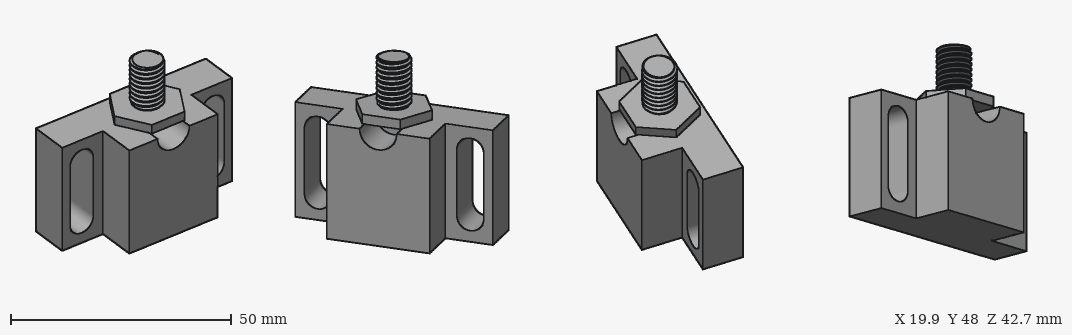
import cadquery as cq
import math

bracket_length = 48.0
bracket_height = 28.0
bracket_depth = 19.95
plate_thickness = bracket_depth / 2
block_length = 24.95

slot_width = 6.55
slot_height = 22.5
slot_spacing = 37.0

groove_radius = 4.5

stud_top = 42.7
collar_height = 0.45
flange_thickness = 2.35
flange_across_flats = 16.0
flange_corner_diameter = flange_across_flats / math.cos(math.pi / 6)
flange_top = bracket_height + collar_height + flange_thickness

thread_diameter = 8.0
core_diameter = 6.7
thread_pitch = 1.25
thread_turns = 11
thread_start = 29.8
thread_start_angle = -90.0
ridge_base_width = 1.15
ridge_crest_width = 0.15
ridge_embed = 0.15
thread_end_chamfer = 0.4
thread_runout_chamfer = 0.7
crest_clearance = 0.1


def make_bracket():
    plate = cq.Workplane("XY").box(
        plate_thickness, bracket_length, bracket_height, centered=(False, True, False)
    ).translate((-plate_thickness, 0, 0))
    block = cq.Workplane("XY").box(
        bracket_depth / 2, block_length, bracket_height, centered=(False, True, False)
    )
    slots = (
        cq.Workplane("YZ", origin=(-plate_thickness, 0, bracket_height / 2))
        .pushPoints([(-slot_spacing / 2, 0), (slot_spacing / 2, 0)])
        .slot2D(slot_height, slot_width, 90)
        .extrude(plate_thickness)
    )
    groove = (
        cq.Workplane("YZ", origin=(0, 0, bracket_height))
        .circle(groove_radius)
        .extrude(bracket_depth / 2)
    )
    return plate.union(block).cut(slots).cut(groove)


def make_thread_ridge():
    core_radius = core_diameter / 2
    helix = cq.Wire.makeHelix(thread_pitch, thread_pitch * thread_turns, core_radius)
    root = core_radius - ridge_embed
    crest = thread_diameter / 2
    ridge = (
        cq.Workplane("XZ")
        .polyline([
            (root, -ridge_base_width / 2),
            (crest, -ridge_crest_width / 2),
            (crest, ridge_crest_width / 2),
            (root, ridge_base_width / 2),
        ])
        .close()
        .sweep(cq.Workplane(obj=helix), isFrenet=True)
    )
    return ridge.rotate((0, 0, 0), (0, 0, 1), thread_start_angle).translate((0, 0, thread_start))


def make_stud():
    collar = (
        cq.Workplane("XY", origin=(0, 0, bracket_height))
        .circle(thread_diameter / 2)
        .extrude(collar_height)
    )
    flange = (
        cq.Workplane("XY", origin=(0, 0, bracket_height + collar_height))
        .transformed(rotate=(0, 0, 90))
        .polygon(6, flange_corner_diameter)
        .extrude(flange_thickness)
    )
    core = (
        cq.Workplane("XY", origin=(0, 0, flange_top))
        .circle(core_diameter / 2)
        .extrude(stud_top - flange_top)
    )
    thread_envelope = (
        cq.Workplane("XY", origin=(0, 0, flange_top))
        .circle(thread_diameter / 2 + crest_clearance)
        .extrude(stud_top - flange_top)
        .faces(">Z")
        .chamfer(thread_end_chamfer + crest_clearance)
        .faces("<Z")
        .chamfer(thread_runout_chamfer + crest_clearance)
    )
    threaded_end = core.union(make_thread_ridge().intersect(thread_envelope))
    return collar.union(flange).union(threaded_end)


bracket = make_bracket()
stud = make_stud()

result = cq.Compound.makeCompound([bracket.solids().val(), stud.solids().val()])